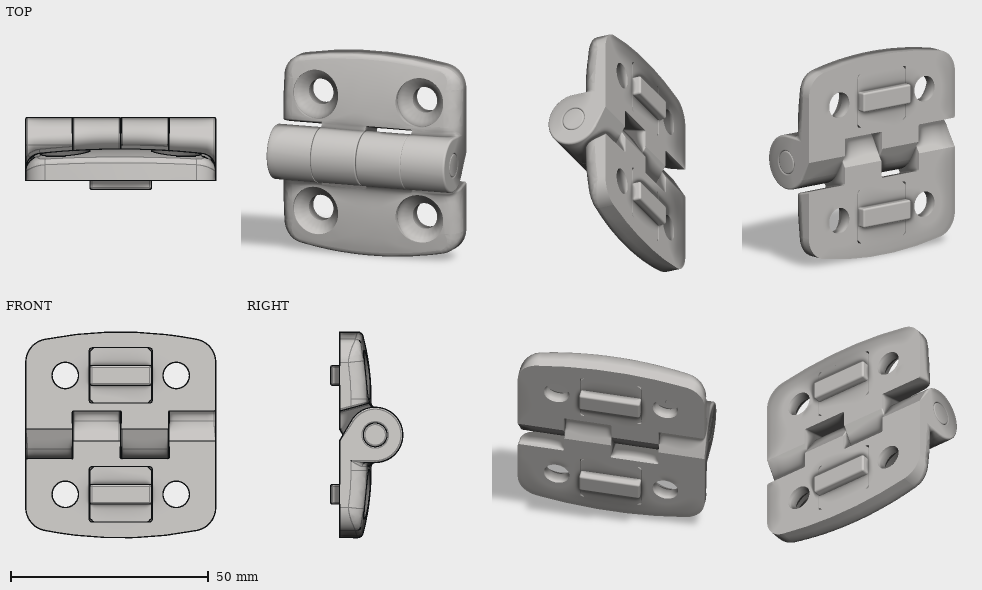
import cadquery as cq
import math


half_width = 24.0
leaf_height = 26.0
end_arc_radius = 100.0
corner_radius = 6.0

crown_y = 8.0
crown_flat_end_z = 9.0
dome_radius_z = 63.0
dome_radius_x = 190.0
dome_half_angle = 10.0
dome_margin = 1.0
side_fillet = 4.0
end_fillet = 1.5

axis_y = 9.0
barrel_radius = 7.0
ramp_start_z = 1.5
outer_knuckle_inner_x = 12.2
inner_knuckle_start_x = 0.1
inner_knuckle_end_x = 12.1
outer_edge_fillet = 0.5
faded_fillet = 0.02
inner_edge_fillet = 0.3
root_fillet = 1.0

notch_floor_z = 6.0
notch_floor_angle = 15.0
notch_end_fillet = 0.5
notch_corner_fillet = 0.35
plate_start_z = notch_floor_z - 2 * notch_corner_fillet

hole_x = 14.0
hole_z = 15.0
hole_diameter = 6.6
hole_straight_depth = 3.1
head_diameter = 12.5

pin_diameter = 6.0
pin_end_fillet = 0.4
bore_mouth_fillet = 0.35

pocket_width = 16.0
pocket_height = 14.0
pocket_depth = 3.0
pocket_corner_radius = 0.85
insert_width = 15.6
insert_corner_chamfer = 1.0
nib_height = 5.0
nib_projection = 2.25
nib_fillet = 0.5

tolerance = 0.01

outer_knuckle_range = (-half_width, -outer_knuckle_inner_x)
inner_knuckle_range = (inner_knuckle_start_x, inner_knuckle_end_x)
notch_ranges = [
    (-outer_knuckle_inner_x, inner_knuckle_start_x),
    (inner_knuckle_end_x, half_width),
]


def graded_fillet(body, graded_edges):
    """Fillet whose radius may change along an edge: each entry is (edge, start radius, end radius)."""
    maker = cq.occ_impl.shapes.BRepFilletAPI_MakeFillet(body.val().wrapped)
    for edge, start_radius, end_radius in graded_edges:
        maker.Add(start_radius, end_radius, edge.wrapped)
    return cq.Workplane(cq.Shape.cast(maker.Shape()).Solids()[0])


def plate_blank():
    """Flat plate with a bowed end and rounded end corners, thicker than the finished crown."""
    end_drop = end_arc_radius - math.sqrt(end_arc_radius**2 - half_width**2)
    blank = (
        cq.Workplane("XZ")
        .moveTo(-half_width, plate_start_z)
        .lineTo(-half_width, leaf_height - end_drop)
        .threePointArc((0, leaf_height), (half_width, leaf_height - end_drop))
        .lineTo(half_width, plate_start_z)
        .close()
        .extrude(-axis_y)
    )
    return blank.edges("|Y").edges(">Z").fillet(corner_radius)


def crown_drop(z):
    """Fall of the crown below its highest level, at X = 0."""
    return dome_radius_z - math.sqrt(dome_radius_z**2 - (z - crown_flat_end_z) ** 2)


def dome():
    """Solid under the doubly curved crown: a curved profile swept round an axis parallel to Z."""
    dome_axis_y = crown_y - dome_radius_x
    top_z = leaf_height + dome_margin
    middle_z = (crown_flat_end_z + top_z) / 2
    return (
        cq.Workplane("YZ")
        .moveTo(-dome_margin, 0)
        .lineTo(crown_y, 0)
        .lineTo(crown_y, crown_flat_end_z)
        .threePointArc(
            (crown_y - crown_drop(middle_z), middle_z),
            (crown_y - crown_drop(top_z), top_z),
        )
        .lineTo(-dome_margin, top_z)
        .close()
        .revolve(2 * dome_half_angle, (dome_axis_y, 0), (dome_axis_y, 1))
        .rotate((0, dome_axis_y, 0), (0, dome_axis_y, 1), -dome_half_angle)
    )


def crowned_plate():
    """Plate under the dome, its rim rounded broadly along the sides and tightly along the end."""
    plate = plate_blank().intersect(dome())
    rim = []
    for edge in plate.edges().vals():
        box = edge.BoundingBox()
        in_side = box.xlen < tolerance
        in_end = box.zmax > leaf_height - tolerance
        in_corner = box.xmin * box.xmax > 0 and not in_side
        on_crown = box.ymin > tolerance and box.zmax > barrel_radius
        if not on_crown:
            continue
        if in_side:
            rim.append((edge, side_fillet, side_fillet))
        elif in_end:
            rim.append((edge, end_fillet, end_fillet))
        elif in_corner and box.xmax < 0:
            rim.append((edge, side_fillet, end_fillet))
        elif in_corner:
            rim.append((edge, end_fillet, side_fillet))
    return graded_fillet(plate, rim)


def notch(start_x, end_x):
    """Space under a sloping floor that leaves room for a knuckle of the other leaf."""
    depth = 2 * crown_y
    rise = depth * math.tan(math.radians(notch_floor_angle))
    return (
        cq.Workplane("YZ", origin=(start_x, 0, 0))
        .polyline([(0, 0), (depth, 0), (depth, notch_floor_z + rise), (0, notch_floor_z)])
        .close()
        .extrude(end_x - start_x)
    )


def notch_corner_filler(start_x, end_x):
    """Material that rounds the corners between a notch floor and the knuckles beside it."""
    sharp = notch(start_x, end_x)
    walls = "<X" if end_x == half_width else "<X or >X"
    floor_corners = sharp.faces(walls).edges("not(|Y or |Z)")
    return sharp.cut(floor_corners.fillet(notch_corner_fillet)).intersect(crowned_plate())


def notched_plate():
    """Crowned plate with both notches, the outer notch rounded where its floor meets the side."""
    plate = crowned_plate()
    for start_x, end_x in notch_ranges:
        plate = plate.cut(notch(start_x, end_x))
    side_end = cq.selectors.BoxSelector(
        (half_width - tolerance, 0, notch_floor_z - tolerance),
        (half_width + tolerance, side_fillet, barrel_radius),
    )
    return plate.edges(side_end).edges("not(|X or |Z)").fillet(notch_end_fillet)


def knuckle(start_x, end_x):
    """Barrel with a flat top at the plate end and a ramp tangent to the barrel below."""
    reach = math.hypot(axis_y, ramp_start_z)
    tangent_angle = math.pi - math.atan2(ramp_start_z, axis_y) + math.acos(barrel_radius / reach)
    tangent_y = axis_y + barrel_radius * math.cos(tangent_angle)
    tangent_z = barrel_radius * math.sin(tangent_angle)
    return (
        cq.Workplane("YZ", origin=(start_x, 0, 0))
        .moveTo(0, barrel_radius)
        .lineTo(0, ramp_start_z)
        .lineTo(tangent_y, tangent_z)
        .threePointArc((axis_y + barrel_radius, 0), (axis_y, barrel_radius))
        .close()
        .extrude(end_x - start_x)
    )


def outer_knuckle():
    """Knuckle at the side of the leaf, its outer rim rounded and fading out along the ramp."""
    body = knuckle(*outer_knuckle_range)
    rim = []
    for edge in body.faces("<X").edges("not |Z").vals():
        is_ramp = edge.geomType() == "LINE" and edge.Center().z < ramp_start_z
        start_radius = faded_fillet if is_ramp else outer_edge_fillet
        rim.append((edge, start_radius, outer_edge_fillet))
    return graded_fillet(body, rim)


def inner_knuckle_rim_waste():
    """Slivers that round both rims of the inner knuckle, except along its flat top."""
    start_x, end_x = inner_knuckle_range
    blank = knuckle(start_x, end_x)
    rounded = blank.faces("<X or >X").edges("not |Z").fillet(inner_edge_fillet)
    flat_top = (
        cq.Workplane("XY")
        .box(end_x - start_x, axis_y, barrel_radius - ramp_start_z, centered=False)
        .translate((start_x, 0, ramp_start_z))
    )
    return blank.cut(rounded).cut(flat_top)


def leaf_body():
    """Plate joined to its two knuckles, with a fillet where the crown meets their flat tops."""
    body = notched_plate().union(outer_knuckle()).union(knuckle(*inner_knuckle_range))
    knuckle_roots = cq.selectors.BoxSelector(
        (-half_width, 0, barrel_radius - tolerance),
        (half_width, crown_y + tolerance, barrel_radius + tolerance),
        boundingbox=True,
    )
    body = body.edges(knuckle_roots).edges("not |Y").fillet(root_fillet)
    body = body.cut(inner_knuckle_rim_waste())
    for start_x, end_x in notch_ranges:
        body = body.union(notch_corner_filler(start_x, end_x))
    return body


def screw_hole(x):
    """Through hole widening by a 90 degree countersink into a round seat for the screw head."""
    hole_radius = hole_diameter / 2
    head_radius = head_diameter / 2
    seat_y = hole_straight_depth + head_radius - hole_radius
    return (
        cq.Workplane("XY", origin=(x, 0, hole_z))
        .lineTo(hole_radius, 0)
        .lineTo(hole_radius, hole_straight_depth)
        .lineTo(head_radius, seat_y)
        .lineTo(head_radius, 2 * crown_y)
        .lineTo(0, 2 * crown_y)
        .close()
        .revolve(360, (0, 0), (0, 1))
    )


def insert_pocket():
    """Rectangular pocket in the mounting face with rounded corners."""
    return (
        cq.Workplane("XZ", origin=(0, 0, hole_z))
        .rect(pocket_width, pocket_height)
        .extrude(-pocket_depth)
        .edges("|Y")
        .fillet(pocket_corner_radius)
    )


def pin_rod():
    """Plain rod on the hinge axis, as long as the leaves are wide."""
    return (
        cq.Workplane("YZ", origin=(-half_width, axis_y, 0))
        .circle(pin_diameter / 2)
        .extrude(2 * half_width)
    )


def leaf():
    """Upper hinge leaf, with screw holes, insert pocket and a pin bore rounded at its outer mouth."""
    body = leaf_body()
    for x in (-hole_x, hole_x):
        body = body.cut(screw_hole(x))
    body = body.cut(insert_pocket()).cut(pin_rod())
    smallest_circle = cq.selectors.RadiusNthSelector(0)
    bore_mouth = body.faces("<X").edges("%CIRCLE").edges(smallest_circle)
    return bore_mouth.fillet(bore_mouth_fillet)


def insert():
    """Pocket filler with chamfered corners and a raised rounded nib."""
    filler = (
        cq.Workplane("XZ", origin=(0, 0, hole_z))
        .rect(insert_width, pocket_height)
        .extrude(-pocket_depth)
        .edges("|Y")
        .chamfer(insert_corner_chamfer)
    )
    nib = (
        cq.Workplane("XZ", origin=(0, 0, hole_z))
        .rect(insert_width, nib_height)
        .extrude(nib_projection)
        .edges("|Y or <Y")
        .fillet(nib_fillet)
    )
    return filler.union(nib)


def pin():
    """Hinge pin with rounded ends, flush with the sides of the leaves."""
    return pin_rod().faces("<X or >X").edges().fillet(pin_end_fillet)


def turned_pair(body):
    """Solids of a body in the upper leaf and of its half-turn copy in the lower leaf."""
    return [body.rotate((0, 0, 0), (0, 1, 0), turn).solids().val() for turn in (0, 180)]


leaves = turned_pair(leaf())
inserts = turned_pair(insert())
hinge_pin = pin()

result = cq.Compound.makeCompound([*leaves, *inserts, hinge_pin.val()])